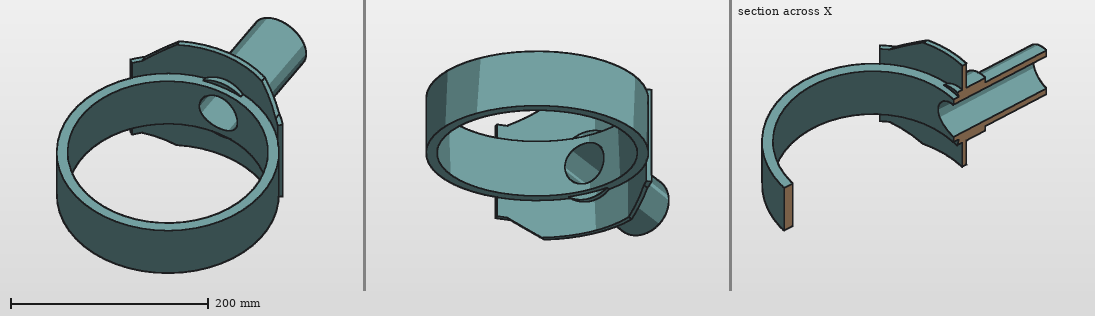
import cadquery as cq
import math

total_length = 331.5
ring_diameter = 225.0
ring_bore_radius = 101.5
ring_height = 61.0

saddle_radius = 118.0
saddle_width = 180.7
saddle_half_height = 72.0
saddle_end_half_height = 51.5
bevel_inner_x = 50.5
bevel_outer_x = 79.2

collar_diameter = 75.5
collar_inner_y = 106.0
collar_outer_y = 142.0
collar_dish_depth = 4.0
pipe_diameter = 63.0
bore_diameter = 45.0

ring_radius = ring_diameter / 2
pipe_end_y = total_length - ring_radius


def branch_cylinder(diameter, start_y, end_y):
    """Cylinder along +Y, centred on the branch axis."""
    base = cq.Workplane("XZ", origin=(0, start_y, 0))
    return base.circle(diameter / 2).extrude(start_y - end_y)


def make_ring():
    ring = cq.Workplane("XY").circle(ring_radius).circle(ring_bore_radius)
    return ring.extrude(ring_height / 2, both=True)


def make_saddle():
    """Curved plate seated on the ring, with radial ends and bevelled corners."""
    end_x = saddle_width / 2
    end_y = math.sqrt(saddle_radius**2 - end_x**2)
    inner_ratio = ring_radius / saddle_radius
    inner_x = end_x * inner_ratio
    inner_y = end_y * inner_ratio
    plate = (
        cq.Workplane("XY")
        .moveTo(-end_x, end_y)
        .threePointArc((0, saddle_radius), (end_x, end_y))
        .lineTo(inner_x, inner_y)
        .threePointArc((0, ring_radius), (-inner_x, inner_y))
        .close()
        .extrude(saddle_half_height, both=True)
    )
    upper = [
        (-end_x, saddle_end_half_height),
        (-bevel_outer_x, saddle_end_half_height),
        (-bevel_inner_x, saddle_half_height),
        (bevel_inner_x, saddle_half_height),
        (bevel_outer_x, saddle_end_half_height),
        (end_x, saddle_end_half_height),
    ]
    lower = [(x, -z) for x, z in reversed(upper)]
    outline = cq.Workplane("XZ").polyline(upper + lower).close().extrude(-saddle_radius)
    return plate.intersect(outline)


def make_collar():
    """Collar whose inner end is a shallow cone, deepening from the rim to the bore."""
    dish = cq.Solid.makeCone(
        collar_diameter / 2,
        bore_diameter / 2,
        collar_dish_depth,
        pnt=cq.Vector(0, collar_inner_y, 0),
        dir=cq.Vector(0, 1, 0),
    )
    collar = branch_cylinder(collar_diameter, collar_inner_y, collar_outer_y)
    return collar.cut(cq.Workplane(dish))


pipe = branch_cylinder(pipe_diameter, collar_outer_y, pipe_end_y)
bore = branch_cylinder(bore_diameter, 0, pipe_end_y)

result = make_ring().union(make_saddle()).union(make_collar()).union(pipe).cut(bore)